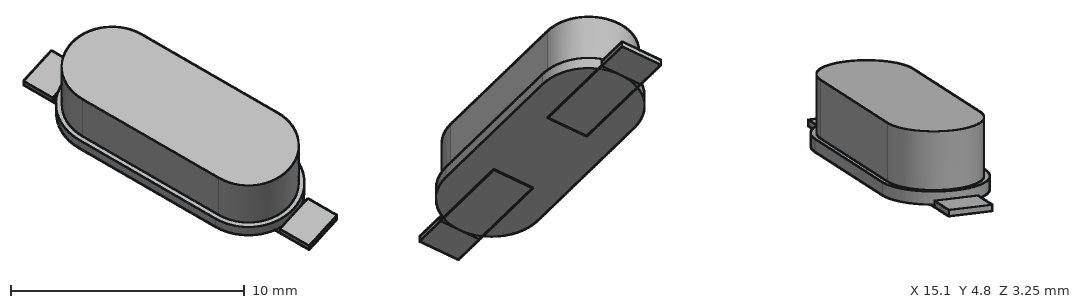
import cadquery as cq

overall_length = 15.09
overall_height = 3.25

straight_length = 7.2
base_width = 4.8
base_height = 0.59
rim = 0.24
can_width = base_width - 2 * rim
base_length = straight_length + base_width

lead_width = 2.04
tab_thickness = 0.29
foot_thickness = 0.05
foot_inner_x = 2.0

base_top = foot_thickness + base_height


def make_stadium(width, bottom, height):
    """Upright prism with straight sides and semicircular ends."""
    return (
        cq.Workplane("XY")
        .workplane(offset=bottom)
        .slot2D(straight_length + width, width)
        .extrude(height)
    )


def make_lead(side):
    """Stepped lead at the +X end (side = 1) or the -X end (side = -1)."""
    outer_x = side * overall_length / 2
    step_x = side * base_length / 2
    inner_x = side * foot_inner_x
    return (
        cq.Workplane("XZ")
        .moveTo(outer_x, 0)
        .lineTo(outer_x, tab_thickness)
        .lineTo(step_x, tab_thickness)
        .lineTo(step_x, foot_thickness)
        .lineTo(inner_x, foot_thickness)
        .lineTo(inner_x, 0)
        .close()
        .extrude(lead_width / 2, both=True)
    )


base = make_stadium(base_width, foot_thickness, base_height)
can = make_stadium(can_width, base_top, overall_height - base_top)
leads = [make_lead(side) for side in (-1, 1)]

result = cq.Compound.makeCompound([base.val(), can.val(), *[lead.val() for lead in leads]])